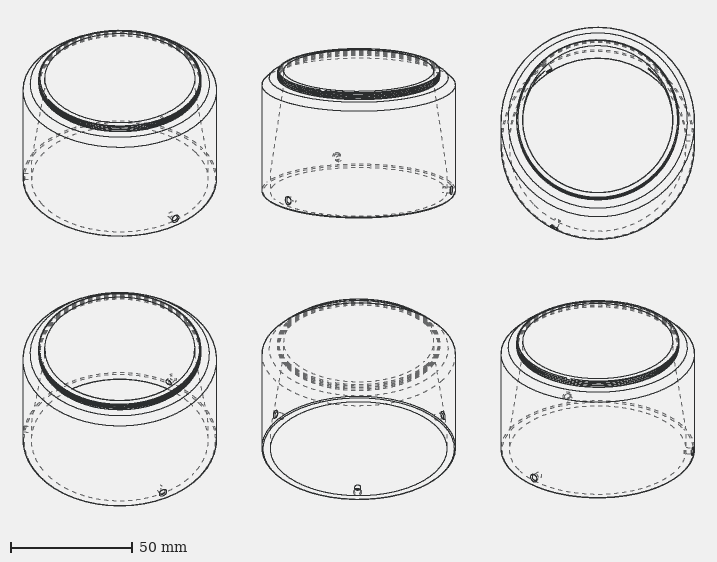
import cadquery as cq
import math

BARREL_RADIUS = 40.0
SHOULDER_HEIGHT = 49.0
SHOULDER_CHAMFER = 3.0
BASE_CHAMFER = 0.5

NECK_HEIGHT = 3.0
THREAD_RADIUS = 33.5
THREAD_PITCH = 0.75
THREAD_DEPTH = 0.54
CREST_WIDTH = 0.06
FLANK_ANGLE = math.radians(30)
RIDGE_EMBED = 0.04
CORE_OVERRUN = 4.0
CREST_DROP = 1.575
TOTAL_HEIGHT = SHOULDER_HEIGHT + NECK_HEIGHT
ROOT_RADIUS = THREAD_RADIUS - THREAD_DEPTH

THROAT_RADIUS = 62.0 / 2
THROAT_START = SHOULDER_HEIGHT - SHOULDER_CHAMFER
SOCKET_RADIUS = 73.0 / 2
SOCKET_DEPTH = 8.0

SCREW_COUNT = 3
FIRST_SCREW_ANGLE = 90.0
SCREW_HEIGHT = 4.0
SCREW_RADIUS = 2.5 / 2
COUNTERSINK_RADIUS = 1.75
COUNTERSINK_DEPTH = COUNTERSINK_RADIUS - SCREW_RADIUS
DRILL_OVERRUN = 1.0


def make_barrel():
    """Revolve the barrel wall: chamfered outside, throat, cone and socket inside."""
    section = (
        cq.Workplane("XZ")
        .moveTo(SOCKET_RADIUS, 0)
        .lineTo(BARREL_RADIUS - BASE_CHAMFER, 0)
        .lineTo(BARREL_RADIUS, BASE_CHAMFER)
        .lineTo(BARREL_RADIUS, SHOULDER_HEIGHT - SHOULDER_CHAMFER)
        .lineTo(BARREL_RADIUS - SHOULDER_CHAMFER, SHOULDER_HEIGHT)
        .lineTo(THROAT_RADIUS, SHOULDER_HEIGHT)
        .lineTo(THROAT_RADIUS, THROAT_START)
        .lineTo(SOCKET_RADIUS, SOCKET_DEPTH)
        .close()
    )
    return section.revolve(360, (0, 0, 0), (0, 1, 0))


def make_ring(outer_radius, bottom, top):
    """Flat ring around the throat between two heights."""
    base = cq.Workplane("XY", origin=(0, 0, bottom))
    return base.circle(outer_radius).circle(THROAT_RADIUS).extrude(top - bottom)


def make_thread_ridge():
    """Right-hand helical ridge, running past both ends of the neck."""
    inner_radius = ROOT_RADIUS - RIDGE_EMBED
    inner_half_width = CREST_WIDTH / 2 + (THREAD_RADIUS - inner_radius) * math.tan(FLANK_ANGLE)
    start_height = SHOULDER_HEIGHT - CREST_DROP
    turns = math.ceil((CREST_DROP + NECK_HEIGHT) / THREAD_PITCH) + 1
    helix = cq.Wire.makeHelix(THREAD_PITCH, turns * THREAD_PITCH, inner_radius)
    profile = (
        cq.Workplane("XZ")
        .moveTo(inner_radius, -inner_half_width)
        .lineTo(THREAD_RADIUS, -CREST_WIDTH / 2)
        .lineTo(THREAD_RADIUS, CREST_WIDTH / 2)
        .lineTo(inner_radius, inner_half_width)
        .close()
    )
    ridge = profile.sweep(cq.Workplane(obj=helix), isFrenet=True)
    return ridge.translate((0, 0, start_height))


def make_threaded_neck():
    """Join the ridge to an overlong core, then trim both to the neck height."""
    core = make_ring(ROOT_RADIUS, SHOULDER_HEIGHT - CORE_OVERRUN, TOTAL_HEIGHT + CORE_OVERRUN)
    neck_zone = make_ring(BARREL_RADIUS, SHOULDER_HEIGHT, TOTAL_HEIGHT)
    return core.union(make_thread_ridge()).intersect(neck_zone)


def make_screw_hole(angle):
    """Cutter for one countersunk radial hole through the socket wall."""
    drill_start = SOCKET_RADIUS - DRILL_OVERRUN
    countersink_bottom = BARREL_RADIUS - COUNTERSINK_DEPTH
    outer_radius = COUNTERSINK_RADIUS + DRILL_OVERRUN
    outer_end = BARREL_RADIUS + DRILL_OVERRUN
    cutter = (
        cq.Workplane("XZ")
        .moveTo(drill_start, SCREW_HEIGHT)
        .lineTo(drill_start, SCREW_HEIGHT + SCREW_RADIUS)
        .lineTo(countersink_bottom, SCREW_HEIGHT + SCREW_RADIUS)
        .lineTo(outer_end, SCREW_HEIGHT + outer_radius)
        .lineTo(outer_end, SCREW_HEIGHT)
        .close()
        .revolve(360, (0, SCREW_HEIGHT, 0), (1, SCREW_HEIGHT, 0))
    )
    return cutter.rotate((0, 0, 0), (0, 0, 1), angle)


result = make_barrel().union(make_threaded_neck())
for index in range(SCREW_COUNT):
    screw_angle = FIRST_SCREW_ANGLE + index * 360 / SCREW_COUNT
    result = result.cut(make_screw_hole(screw_angle))